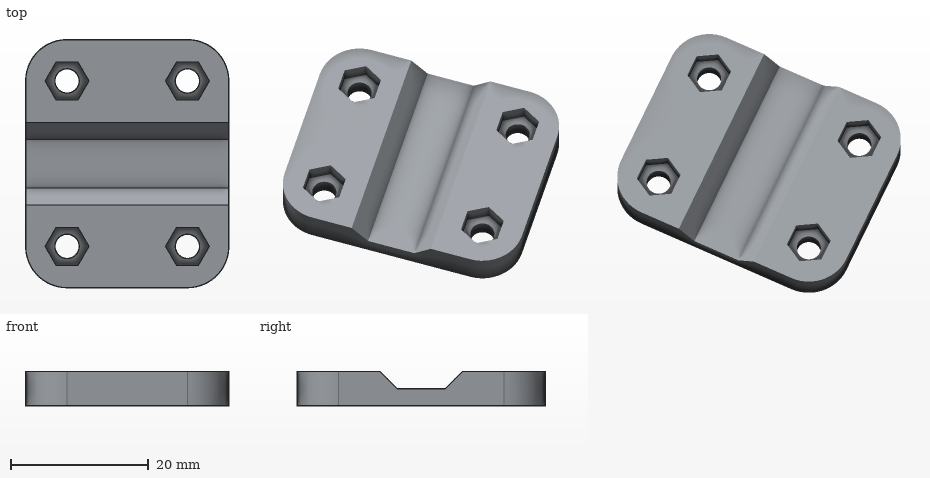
import cadquery as cq
import math

length = 36.0
width = 29.5
thickness = 5.0
corner_radius = 6.0

groove_top_width = 12.0
groove_depth = 2.5
groove_floor_width = groove_top_width - 2 * groove_depth

hole_diameter = 3.5
nut_across_flats = 5.5
nut_across_corners = nut_across_flats / math.cos(math.pi / 6)
nut_pocket_depth = 2.5
hole_spacing_x = width - 2 * corner_radius
hole_spacing_y = length - 2 * corner_radius


def make_plate():
    plate = cq.Workplane("XY").rect(width, length).extrude(thickness)
    return plate.edges("|Z").fillet(corner_radius)


def make_groove():
    floor_z = thickness - groove_depth
    profile = [
        (-groove_top_width / 2, thickness),
        (-groove_floor_width / 2, floor_z),
        (groove_floor_width / 2, floor_z),
        (groove_top_width / 2, thickness),
    ]
    return cq.Workplane("YZ").polyline(profile).close().extrude(width / 2, both=True)


def bolt_pattern(height):
    """Workplane at the given height with a point at each bolt hole."""
    plane = cq.Workplane("XY").workplane(offset=height)
    return plane.rarray(hole_spacing_x, hole_spacing_y, 2, 2)


def make_bolt_holes():
    return bolt_pattern(0).circle(hole_diameter / 2).extrude(thickness)


def make_nut_pockets():
    pocket_floor = thickness - nut_pocket_depth
    return bolt_pattern(pocket_floor).polygon(6, nut_across_corners).extrude(nut_pocket_depth)


result = make_plate().cut(make_groove()).cut(make_bolt_holes()).cut(make_nut_pockets())